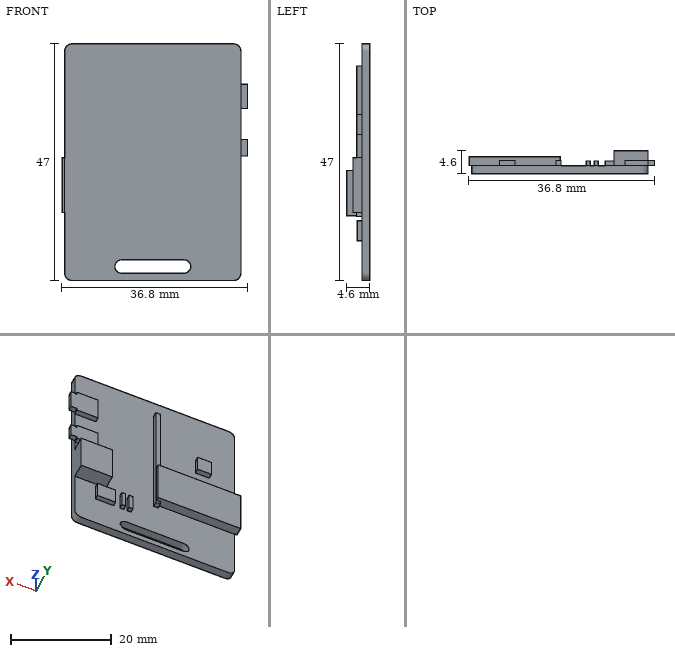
import cadquery as cq


board_width = 35.0
board_height = 47.0
board_thickness = 1.6
corner_radius = 1.5

slot_length = 15.0
slot_width = 2.6
slot_edge_gap = 1.5

chip_height = 0.95
low_part_height = 1.05
connector_height = 1.8
tall_block_height = 3.0

connector_overhang = 0.5
connector_width = 18.1
connector_bottom = 13.5
connector_length = 10.9

tall_block_width = 6.8
tall_block_bottom = 12.85
tall_block_length = 9.0

actuator_overhang = 1.3
housing_width = 4.6
housing_margin = 0.5
upper_actuator_bottom = 34.1
upper_actuator_length = 4.9
lower_actuator_bottom = 24.7
lower_actuator_length = 3.3

strip_left = 16.75
strip_width = 1.0
strip_bottom = 12.7
strip_length = 29.9

left_part_left = 5.55
left_part_width = 3.05
left_part_bottom = 29.0
left_part_length = 3.95

chip_bottom = 7.9
chip_length = 4.0
narrow_chip_width = 0.85
narrow_chip_lefts = (22.7, 24.3)
wide_chip_left = 26.5
wide_chip_width = 4.0


def make_board():
    """Rounded rectangular plate, lower-left corner at the origin."""
    plate = cq.Workplane("XY").box(board_width, board_thickness, board_height, centered=False)
    return plate.edges("|Y").fillet(corner_radius)


def make_slot():
    """Round-ended cutter through the board thickness."""
    slot_center_z = slot_edge_gap + slot_width / 2
    return (
        cq.Workplane("XZ")
        .center(board_width / 2, slot_center_z)
        .slot2D(slot_length, slot_width)
        .extrude(-board_thickness)
    )


def make_component(left, bottom, width, length, height):
    """Block standing on the rear face of the board."""
    block = cq.Workplane("XY").box(width, height, length, centered=False)
    return block.translate((left, board_thickness, bottom))


def make_connector():
    """Flat block overhanging the left edge."""
    return make_component(
        -connector_overhang, connector_bottom, connector_width, connector_length, connector_height
    )


def make_tall_block():
    """Tallest block, flush with the right edge."""
    left = board_width - tall_block_width
    return make_component(left, tall_block_bottom, tall_block_width, tall_block_length, tall_block_height)


def make_strip():
    """Long narrow strip running along the height of the board."""
    return make_component(strip_left, strip_bottom, strip_width, strip_length, low_part_height)


def make_left_part():
    """Low block left of the strip."""
    return make_component(
        left_part_left, left_part_bottom, left_part_width, left_part_length, low_part_height
    )


def make_button(actuator_bottom, actuator_length):
    """Housing with a shorter actuator standing out past the right edge."""
    housing = make_component(
        board_width - housing_width,
        actuator_bottom - housing_margin,
        housing_width,
        actuator_length + 2 * housing_margin,
        low_part_height,
    )
    actuator = make_component(
        board_width, actuator_bottom, actuator_overhang, actuator_length, low_part_height
    )
    return housing.union(actuator)


def make_chips():
    """Side-by-side chips of equal length and height."""
    chips = [make_component(wide_chip_left, chip_bottom, wide_chip_width, chip_length, chip_height)]
    for left in narrow_chip_lefts:
        chips.append(make_component(left, chip_bottom, narrow_chip_width, chip_length, chip_height))
    return chips


components = [
    make_connector(),
    make_tall_block(),
    make_strip(),
    make_left_part(),
    make_button(upper_actuator_bottom, upper_actuator_length),
    make_button(lower_actuator_bottom, lower_actuator_length),
    *make_chips(),
]

result = make_board().cut(make_slot())
for component in components:
    result = result.union(component)